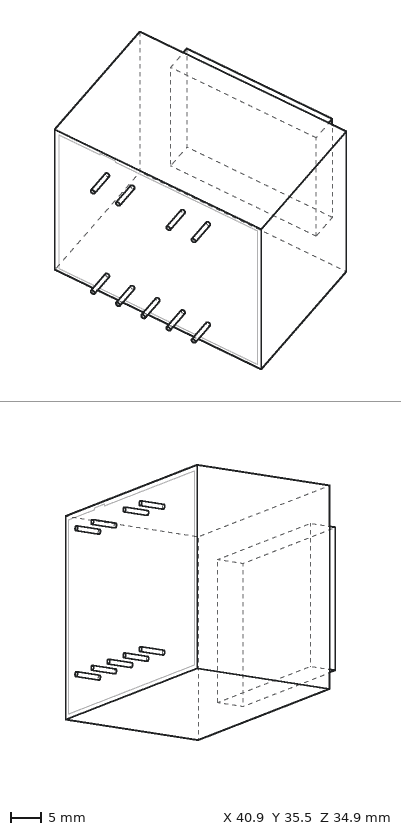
import cadquery as cq


case_width = 40.9
case_height = 34.9
case_depth = 26.0
rim_width = 0.8

plug_depth = 0.8
notch_width = 3.05
notch_rise = 0.33

rear_width = 28.8
rear_height = 24.5
rear_depth = 5.0

pin_diameter = 0.8
pin_length = 4.5
pin_pitch = 5.0
row_spacing = 25.0
upper_row = (-2, -1, 1, 2)
lower_row = (-2, -1, 0, 1, 2)


def block(width, depth, height, front_y=0):
    """Box centred in X and Z, reaching back from front_y."""
    box = cq.Workplane("XY").box(width, depth, height, centered=(True, False, True))
    return box.translate((0, front_y, 0))


def potting_plug():
    """Plug inside the rim, with a tab filling the notch above the first pin."""
    plug_width = case_width - 2 * rim_width
    plug_height = case_height - 2 * rim_width
    tab = (
        cq.Workplane("XY")
        .box(notch_width, plug_depth, notch_rise, centered=(True, False, False))
        .translate((upper_row[0] * pin_pitch, 0, plug_height / 2))
    )
    return block(plug_width, plug_depth, plug_height).union(tab)


def pin_row(positions, z):
    """Row of pins standing out of the front face at height z."""
    return (
        cq.Workplane("XZ", origin=(0, 0, z))
        .pushPoints([(position * pin_pitch, 0) for position in positions])
        .circle(pin_diameter / 2)
        .extrude(pin_length)
    )


plug = potting_plug()
case = block(case_width, case_depth, case_height).cut(plug)
rear_block = block(rear_width, rear_depth, rear_height, front_y=case_depth)

result = (
    case.union(plug, clean=False)
    .union(rear_block, clean=False)
    .union(pin_row(upper_row, row_spacing / 2), clean=False)
    .union(pin_row(lower_row, -row_spacing / 2), clean=False)
)